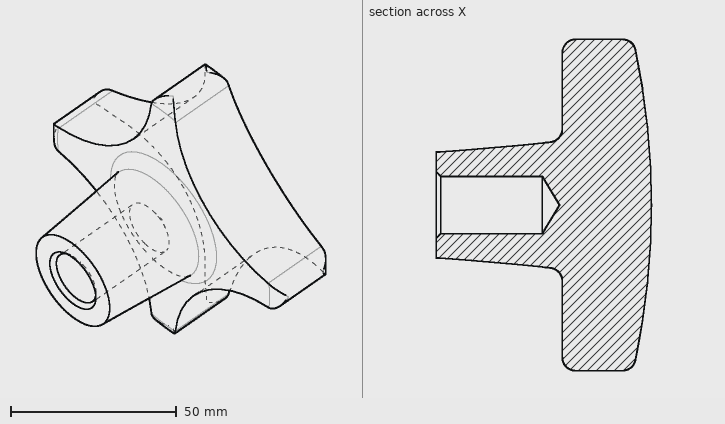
import cadquery as cq
import math

span = 100.0
total_length = 65.0
tip_reach = span / 2

hub_length = 38.0
hub_end_radius = 16.0
hub_taper = math.radians(5)
hub_fillet = 4.0

dome_radius = 227.0
rim_fillet = 4.0

scallop_radius = 45.0
tip_radius = (tip_reach**2 - scallop_radius**2) / (2 * scallop_radius)
tip_center = tip_reach - tip_radius

bore_radius = 8.6
bore_mouth_radius = 10.0
bore_depth = 32.0
drill_half_angle = math.radians(59)


def make_head():
    """Domed disc with a rounded rim, trimmed to the star outline."""
    dome_center = total_length - dome_radius
    rim_y = dome_center + math.sqrt(dome_radius**2 - tip_reach**2)
    mid_radius = tip_reach / 2
    mid_y = dome_center + math.sqrt(dome_radius**2 - mid_radius**2)
    disc = (
        cq.Workplane("XY")
        .moveTo(0, hub_length)
        .lineTo(tip_reach, hub_length)
        .lineTo(tip_reach, rim_y)
        .threePointArc((mid_radius, mid_y), (0, total_length))
        .close()
        .revolve(360, (0, 0, 0), (0, 1, 0))
        .edges("%CIRCLE")
        .fillet(rim_fillet)
    )
    return disc.intersect(make_star())


def make_star():
    """Prism with four round-ended arms joined by tangent concave arcs."""
    reach = tip_radius / (tip_radius + scallop_radius)
    half_width = reach * tip_reach
    shoulder = tip_center + reach * tip_radius
    scallop_middle = tip_reach - scallop_radius / math.sqrt(2)

    def turned(x, z, quarter):
        angle = quarter * math.pi / 2
        c, s = math.cos(angle), math.sin(angle)
        return (x * c - z * s, x * s + z * c)

    outline = cq.Workplane("XZ").moveTo(shoulder, -half_width)
    for quarter in range(4):
        outline = outline.threePointArc(
            turned(tip_reach, 0, quarter), turned(shoulder, half_width, quarter)
        ).threePointArc(
            turned(scallop_middle, scallop_middle, quarter),
            turned(half_width, shoulder, quarter),
        )
    return outline.close().extrude(-total_length)


def make_hub():
    """Tapered hub with a concave fillet running out onto the underside."""
    fillet_center_y = hub_length - hub_fillet
    fillet_center_r = (
        hub_end_radius + fillet_center_y * math.tan(hub_taper) + hub_fillet / math.cos(hub_taper)
    )

    def fillet_point(angle):
        return (
            fillet_center_r - hub_fillet * math.cos(angle),
            fillet_center_y + hub_fillet * math.sin(angle),
        )

    middle_angle = (hub_taper + math.pi / 2) / 2
    overlap = 1.0
    return (
        cq.Workplane("XY")
        .lineTo(hub_end_radius, 0)
        .lineTo(*fillet_point(hub_taper))
        .threePointArc(fillet_point(middle_angle), (fillet_center_r, hub_length))
        .lineTo(fillet_center_r, hub_length + overlap)
        .lineTo(0, hub_length + overlap)
        .close()
        .revolve(360, (0, 0, 0), (0, 1, 0))
    )


def make_bore():
    """Blind bore with a 45-degree mouth chamfer and a conical drill point."""
    chamfer = bore_mouth_radius - bore_radius
    point_length = bore_radius / math.tan(drill_half_angle)
    return (
        cq.Workplane("XY")
        .lineTo(bore_mouth_radius, 0)
        .lineTo(bore_radius, chamfer)
        .lineTo(bore_radius, bore_depth)
        .lineTo(0, bore_depth + point_length)
        .close()
        .revolve(360, (0, 0, 0), (0, 1, 0))
    )


result = make_head().union(make_hub()).cut(make_bore())